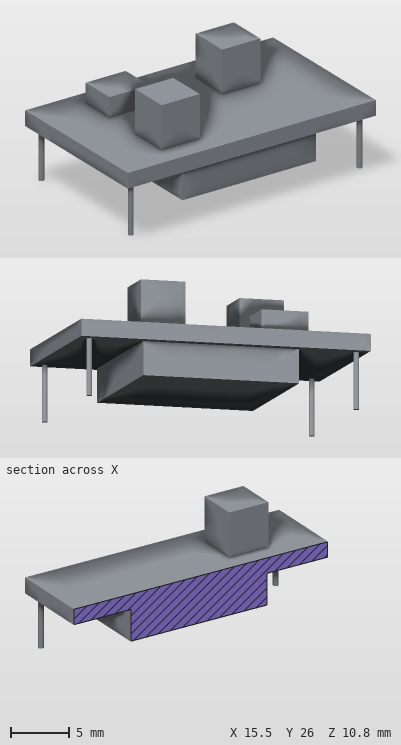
import cadquery as cq

BOARD_WIDTH = 15.5
BOARD_LENGTH = 26.0
BOARD_THICKNESS = 1.5

PIN_DIAMETER = 0.5
PIN_LENGTH = 5.0
PIN_SPACING_X = 13.5
PIN_SPACING_Y = 24.0

TALL_SIDE = 4.0
TALL_HEIGHT = 4.3
TALL_CENTERS = [(-2.65, 4.73), (3.65, -6.0)]

LOW_WIDTH = 3.6
LOW_LENGTH = 4.2
LOW_HEIGHT = 2.0
LOW_CENTER = (-4.1, -5.85)

UNDER_WIDTH = 14.0
UNDER_LENGTH = 14.0
UNDER_HEIGHT = 3.0
UNDER_CENTER = (0.1, 0.18)


def block(width, length, height, center, bottom):
    """Rectangular block with its base centred on an XY point at the given Z."""
    return (
        cq.Workplane("XY")
        .box(width, length, height, centered=(True, True, False))
        .translate((center[0], center[1], bottom))
    )


def corner_pins():
    """Four round pins running down from the underside of the board."""
    return (
        cq.Workplane("XY")
        .rect(PIN_SPACING_X, PIN_SPACING_Y, forConstruction=True)
        .vertices()
        .circle(PIN_DIAMETER / 2)
        .extrude(-PIN_LENGTH)
    )


result = block(BOARD_WIDTH, BOARD_LENGTH, BOARD_THICKNESS, (0, 0), 0)
for tall_center in TALL_CENTERS:
    tall_component = block(TALL_SIDE, TALL_SIDE, TALL_HEIGHT, tall_center, BOARD_THICKNESS)
    result = result.union(tall_component)
result = result.union(block(LOW_WIDTH, LOW_LENGTH, LOW_HEIGHT, LOW_CENTER, BOARD_THICKNESS))
result = result.union(block(UNDER_WIDTH, UNDER_LENGTH, UNDER_HEIGHT, UNDER_CENTER, -UNDER_HEIGHT))
result = result.union(corner_pins())